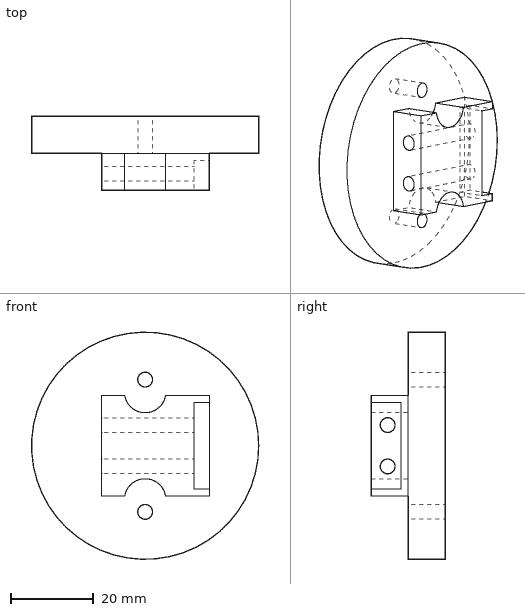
import cadquery as cq

plate_diameter = 55.0
total_depth = 18.0
plate_thickness = 9.0
block_depth = total_depth - plate_thickness

block_left = -10.5
block_width = 26.0
block_height = 24.35
block_right = block_left + block_width

hole_diameter = 3.5
plate_hole_offset = 16.0
relief_radius = 5.0
relief_offset = 13.0

recess_length = 3.75
wall_thickness = 1.75
recess_height = block_height - 2 * wall_thickness
recess_depth = block_depth - wall_thickness

cross_hole_spacing = 10.0
cross_hole_from_front = 4.0


def box_from_front(left, width, depth, height):
    """Box centred in Z, running back from the front face of the block."""
    box = cq.Workplane("XY").box(width, depth, height, centered=(False, False, True))
    return box.translate((left, -block_depth, 0))


def rods_along_y(radius, offset, start, end):
    """Pair of cylinders at +/- offset in Z, running from Y = start to Y = end."""
    return (
        cq.Workplane("XZ", origin=(0, end, 0))
        .pushPoints([(0, offset), (0, -offset)])
        .circle(radius)
        .extrude(end - start)
    )


def make_plate():
    plate = (
        cq.Workplane("XZ", origin=(0, plate_thickness, 0))
        .circle(plate_diameter / 2)
        .extrude(plate_thickness)
    )
    return plate.cut(rods_along_y(hole_diameter / 2, plate_hole_offset, 0, plate_thickness))


def make_block():
    block = box_from_front(block_left, block_width, block_depth, block_height)
    block = block.cut(rods_along_y(relief_radius, relief_offset, -block_depth, 0))
    recess_left = block_right - recess_length
    block = block.cut(box_from_front(recess_left, recess_length, recess_depth, recess_height))
    cross_holes = (
        cq.Workplane("YZ", origin=(block_left, cross_hole_from_front - block_depth, 0))
        .pushPoints([(0, cross_hole_spacing / 2), (0, -cross_hole_spacing / 2)])
        .circle(hole_diameter / 2)
        .extrude(block_width)
    )
    return block.cut(cross_holes)


result = make_plate().union(make_block())